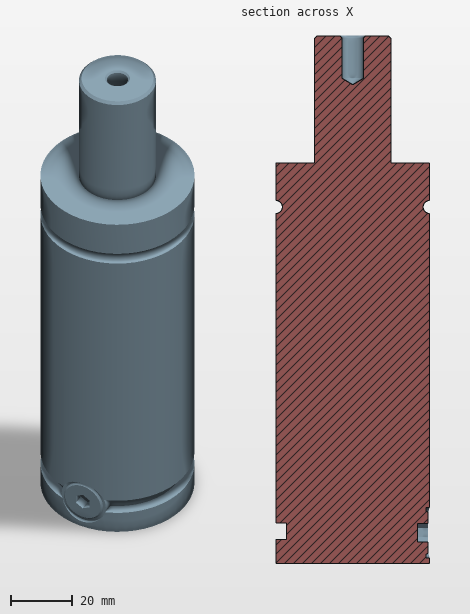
import cadquery as cq
import math

total_height = 171.0
body_diameter = 50.0
body_height = 130.0
body_radius = body_diameter / 2

rod_diameter = body_diameter / 2
rod_chamfer = 0.9

rod_hole_diameter = 6.8
rod_hole_chamfer = 0.6
rod_hole_depth = 13.7
drill_tip_angle = 118.0

cap_height = 14.4
round_groove_radius = 2.0
round_groove_z = body_height - cap_height

base_groove_bottom = 8.0
base_groove_width = 5.1
base_groove_depth = 3.5

plug_z = 10.1
plug_diameter = 16.0
plug_head_diameter = 14.0
plug_face_recess = 0.5
plug_chamfer = 0.5
plug_ledge_recess = 1.2
plug_face_y = -(body_radius - plug_face_recess)
plug_ledge_y = -(body_radius - plug_ledge_recess)
plug_root_y = -(body_radius - base_groove_depth)
socket_across_flats = 5.0
socket_depth = 3.5


def make_body():
    return cq.Workplane("XY").circle(body_radius).extrude(body_height)


def make_rod():
    rod = cq.Workplane("XY").circle(rod_diameter / 2).extrude(total_height)
    return rod.faces(">Z").chamfer(rod_chamfer)


def make_rod_hole():
    """Drilled hole with a chamfered mouth and a conical bottom."""
    radius = rod_hole_diameter / 2
    tip_length = radius / math.tan(math.radians(drill_tip_angle / 2))
    bottom = total_height - rod_hole_depth
    return (
        cq.Workplane("XZ")
        .moveTo(0, total_height)
        .lineTo(radius + rod_hole_chamfer, total_height)
        .lineTo(radius, total_height - rod_hole_chamfer)
        .lineTo(radius, bottom)
        .lineTo(0, bottom - tip_length)
        .close()
        .revolve(360, (0, 0), (0, 1))
    )


def make_round_groove():
    return cq.Workplane("XY").add(
        cq.Solid.makeTorus(body_radius, round_groove_radius, cq.Vector(0, 0, round_groove_z))
    )


def make_base_groove():
    return (
        cq.Workplane("XY", origin=(0, 0, base_groove_bottom))
        .circle(body_radius)
        .circle(body_radius - base_groove_depth)
        .extrude(base_groove_width)
    )


def plug_plane(y):
    """Workplane across the plug axis, facing outward along -Y."""
    return cq.Workplane("XZ", origin=(0, y, plug_z))


def make_plug_pocket():
    return plug_plane(plug_root_y).circle(plug_diameter / 2).extrude(body_radius)


def make_plug():
    """Round plug reaching the body axis, with a narrower chamfered head."""
    shank = plug_plane(0).circle(plug_diameter / 2).extrude(-plug_ledge_y)
    head = plug_plane(0).circle(plug_head_diameter / 2).extrude(-plug_face_y)
    return shank.union(head.faces("<Y").chamfer(plug_chamfer))


def make_socket():
    """Hexagon socket with two corners pointing along Z."""
    across_corners = socket_across_flats / math.cos(math.pi / 6)
    return (
        plug_plane(plug_face_y + socket_depth)
        .transformed(rotate=(0, 0, 90))
        .polygon(6, across_corners)
        .extrude(socket_depth)
    )


result = (
    make_body()
    .cut(make_round_groove())
    .cut(make_base_groove())
    .cut(make_plug_pocket())
    .union(make_plug())
    .cut(make_socket())
    .union(make_rod())
    .cut(make_rod_hole())
)